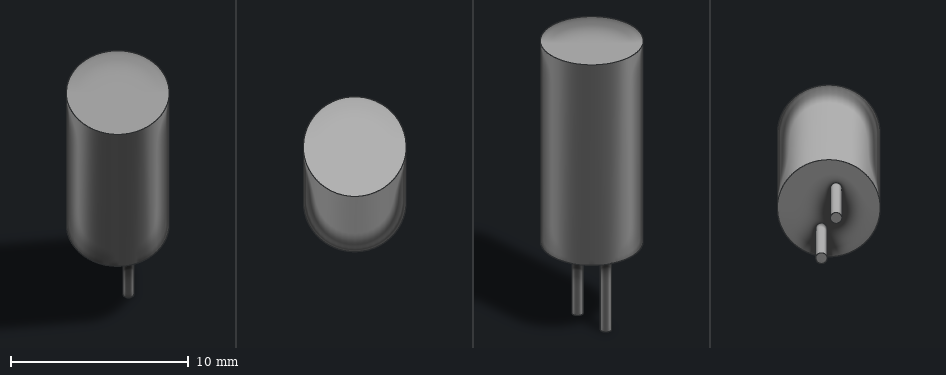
import cadquery as cq

total_height = 17.9
can_diameter = 5.8
can_height = 12.8

lead_diameter = 0.65
lead_spacing = 2.55
lead_length = total_height - can_height


def make_can():
    """Plain cylindrical can standing on the XY plane."""
    return cq.Workplane("XY").circle(can_diameter / 2).extrude(can_height)


def make_lead(x):
    """Straight round lead hanging from the underside of the can."""
    return cq.Workplane("XY").center(x, 0).circle(lead_diameter / 2).extrude(-lead_length)


can = make_can()
leads = []
for side in (-1, 1):
    leads.append(make_lead(side * lead_spacing / 2).val())

result = cq.Compound.makeCompound([can.val(), *leads])